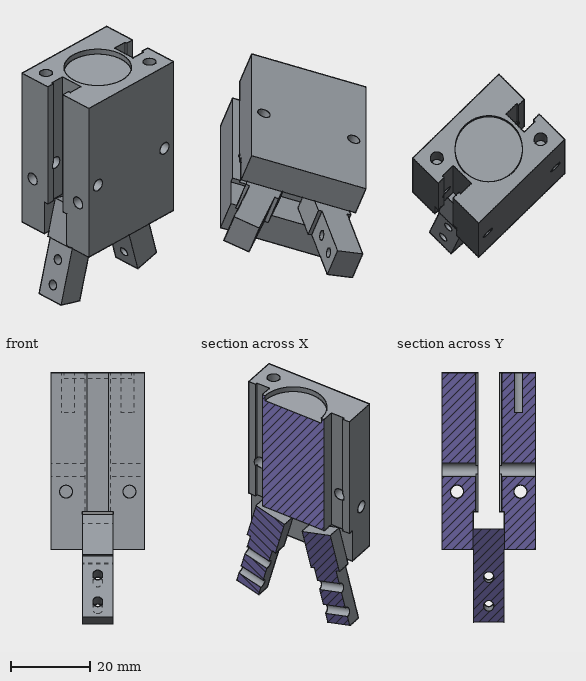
import cadquery as cq
import math

overall_height = 63.44
overall_span = 34.46

body_width = 23.6
body_depth = 30.6
body_height = 44.6

finger_width = 7.8
channel_height = 9.5

slot_mouth_width = 5.3
slot_mouth_depth = 2.1
slot_inner_width = 6.5
slot_total_depth = 5.9

recess_diameter = 17
recess_depth = 1.5

mounting_hole_diameter = 3.25
cross_hole_offset = 12
cross_hole_drop = 24.5
cross_hole_z = body_height - cross_hole_drop
face_hole_offset = 8
face_hole_drop = 30
face_hole_z = body_height - face_hole_drop
face_hole_depth = 6
top_hole_offset_x = 7.5
top_hole_offset_y = 11
top_hole_depth = 10

open_angle = 15
leg_thickness = 7
leg_length = 16
shoulder = 1
head_length = 10.6
finger_hole_diameter = 2.5
finger_hole_heights = (4, 11)


def make_t_slot(side):
    """Cutter for the stepped slot on the face at Y = side * body_depth / 2."""
    slot_length = body_height - channel_height
    outer_face_y = side * body_depth / 2
    mouth = cq.Workplane("XY").box(
        slot_mouth_width, 2 * slot_mouth_depth, slot_length, centered=(True, True, False)
    )
    inner_depth = slot_total_depth - slot_mouth_depth
    inner = cq.Workplane("XY").box(
        slot_inner_width, inner_depth, slot_length, centered=(True, True, False)
    )
    inner = inner.translate((0, -side * (slot_mouth_depth + inner_depth / 2), 0))
    return mouth.union(inner).translate((0, outer_face_y, channel_height))


def make_housing():
    housing = cq.Workplane("XY").box(body_width, body_depth, body_height, centered=(True, True, False))

    channel = cq.Workplane("XY").box(
        finger_width, body_depth, channel_height, centered=(True, True, False)
    )
    housing = housing.cut(channel)

    for side in (-1, 1):
        housing = housing.cut(make_t_slot(side))

    top_plane = cq.Workplane("XY", origin=(0, 0, body_height))
    housing = housing.cut(top_plane.circle(recess_diameter / 2).extrude(-recess_depth))

    top_holes = (
        top_plane.pushPoints(
            [(top_hole_offset_x, top_hole_offset_y), (-top_hole_offset_x, -top_hole_offset_y)]
        )
        .circle(mounting_hole_diameter / 2)
        .extrude(-top_hole_depth)
    )
    housing = housing.cut(top_holes)

    cross_holes = (
        cq.Workplane("YZ", origin=(-body_width / 2, 0, 0))
        .pushPoints([(-cross_hole_offset, cross_hole_z), (cross_hole_offset, cross_hole_z)])
        .circle(mounting_hole_diameter / 2)
        .extrude(body_width)
    )
    housing = housing.cut(cross_holes)

    face_holes = (
        cq.Workplane("XZ", origin=(0, -body_depth / 2, 0))
        .pushPoints([(-face_hole_offset, face_hole_z), (face_hole_offset, face_hole_z)])
        .circle(mounting_hole_diameter / 2)
        .extrude(-face_hole_depth)
    )
    return housing.cut(face_holes)


def make_finger():
    """Back finger, built upright with its inner tip edge at Y = Z = 0, then swung open."""
    finger = (
        cq.Workplane("YZ", origin=(-finger_width / 2, 0, 0))
        .moveTo(0, 0)
        .lineTo(leg_thickness, 0)
        .lineTo(leg_thickness, leg_length)
        .lineTo(leg_thickness + shoulder, leg_length)
        .lineTo(leg_thickness + shoulder, leg_length + head_length)
        .lineTo(-shoulder, leg_length + head_length)
        .lineTo(-shoulder, leg_length)
        .lineTo(0, leg_length)
        .close()
        .extrude(finger_width)
    )
    holes = (
        cq.Workplane("XZ")
        .pushPoints([(0, height) for height in finger_hole_heights])
        .circle(finger_hole_diameter / 2)
        .extrude(-leg_thickness)
    )
    finger = finger.cut(holes).rotate((0, 0, 0), (1, 0, 0), open_angle)

    outer_tip_y = leg_thickness * math.cos(math.radians(open_angle))
    return finger.translate((0, overall_span / 2 - outer_tip_y, body_height - overall_height))


housing = make_housing()
back_finger = make_finger()
fingers = [back_finger.rotate((0, 0, 0), (0, 0, 1), angle) for angle in (0, 180)]

result = cq.Compound.makeCompound([housing.val(), *[finger.val() for finger in fingers]])